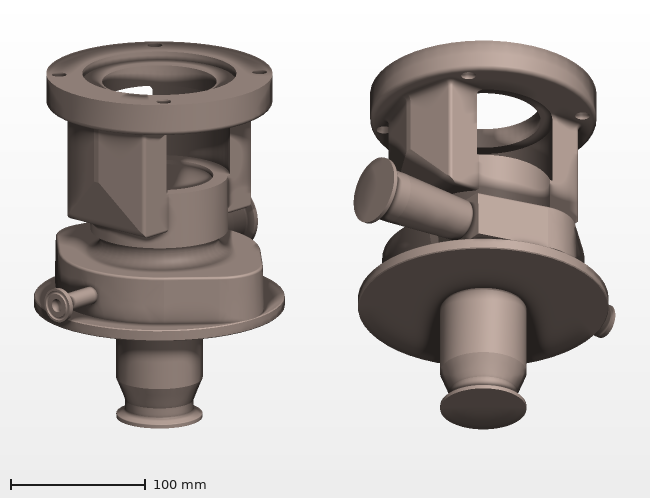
import cadquery as cq
import math

TOP_Z = 155.2
FLANGE_THICKNESS = 24.0
FLANGE_BOTTOM_Z = TOP_Z - FLANGE_THICKNESS
RING_TOP_Z = 76.7
RING_BOTTOM_Z = 34.9
VOLUTE_TOP_Z = 19.0
PLATE_TOP_Z = -16.2
PLATE_BOTTOM_Z = -24.7
BOTTOM_Z = -109.9

Y_AXIS = cq.Vector(0, 1, 0)
Z_AXIS = cq.Vector(0, 0, 1)
EDGE_TOLERANCE = 0.01

FLANGE_RADIUS = 84.0
FLANGE_EDGE_ROUND = 3.5
SPIGOT_RADIUS = 57.2
SPIGOT_DEPTH = 6.3
FLANGE_BORE_RADIUS = 42.5
FLANGE_RELIEF_DEPTH = 2.1
BOLT_SPACING = 105.2
BOLT_HOLE_DIAMETER = 11.0

RING_RADIUS = 51.0
RING_RECESS_RADIUS = 40.0
RING_RECESS_FLOOR_RADIUS = 39.2
RING_RECESS_DEPTH = 3.0
NECK_RADIUS = 44.0
NECK_BLEND_RADIUS = 10.0

LEG_WIDTH = 78.0
LEG_RIDGE_Y = 69.15
LEG_FACE_TILT = 15.0
LEG_INNER_RADIUS = 52.3
LEG_BOTTOM_Z = 46.8
LEG_SLOPE_TOP_Z = 86.0
LEG_CORNER_ROUND = 3.0
LEG_RIDGE_WIDTH = 4.6
LEG_TOE_ROUND = 9.0
LEG_UNDERSIDE_ROUND = 2.6
LEG_FLANGE_FILLET = 4.0

VOLUTE_RADIUS = 75.8
LOBE_OFFSET = 58.5
LOBE_RADIUS = VOLUTE_RADIUS - LOBE_OFFSET * math.sqrt(0.5)
OUTLET_FACE_Y = 62.4
OUTLET_TRIM = 6.0
OUTLET_SIDE_TILT = 14.0
VOLUTE_DRAFT = 1.3
VOLUTE_EDGE_ROUND = 1.9

PLATE_RADIUS = 93.0
PLATE_CHAMFER = 0.7

SUCTION_RADIUS = 32.2
SUCTION_NECK_RADIUS = 25.4
SUCTION_FERRULE_RADIUS = 32.0
SUCTION_CONE_TOP_Z = -79.4
SUCTION_CONE_BOTTOM_Z = -96.3
SUCTION_FERRULE_TOP_Z = -104.0
SUCTION_RIM = 3.0
SUCTION_ROOT_INSET = 1.0
SUCTION_ROOT_HEIGHT = 2.1

DISCHARGE_X = -58.0
DISCHARGE_Z = 3.1
DISCHARGE_END_Y = 144.0
DISCHARGE_RADIUS = 19.2
DISCHARGE_ROOT_RADIUS = 15.5
DISCHARGE_ROOT_ROUND = 3.3
DISCHARGE_CONE_END_Y = 124.4
DISCHARGE_FERRULE_Y = 138.5
DISCHARGE_FERRULE_RADIUS = 25.25
DISCHARGE_RIM = 3.2
DISCHARGE_CLEARANCE_RADIUS = 30.0

FERRULE_NECK_FILLET = 1.3
FERRULE_RIM_ROUND = 0.8

PORT_END_Y = -112.5
PORT_RADIUS = 6.6
PORT_FERRULE_RADIUS = 12.7
PORT_FERRULE_Y = -106.0
PORT_RIM = 4.0
PORT_BORE_RADIUS = 5.0
PORT_NECK_FILLET = 1.0
PORT_GROOVE_CENTRE = 10.0
PORT_GROOVE_RADIUS = 1.15


def disc(radius, bottom, top):
    """Upright cylinder on the pump axis."""
    return cq.Workplane("XY").workplane(offset=bottom).circle(radius).extrude(top - bottom)


def edges_at(body, axis, place):
    """Edges lying wholly in the plane across the axis at the given place."""
    def in_plane(edge):
        points = [edge.positionAt(step) for step in (0, 0.3, 0.7)]
        return all(abs(point.dot(axis) - place) < EDGE_TOLERANCE for point in points)

    return body.edges().filter(in_plane)


def make_flange():
    flange = disc(FLANGE_RADIUS, FLANGE_BOTTOM_Z, TOP_Z)
    return flange.faces("<Z").edges().fillet(FLANGE_EDGE_ROUND)


def cut_flange_openings(body):
    ledge_z = TOP_Z - SPIGOT_DEPTH
    body = body.cut(disc(SPIGOT_RADIUS, ledge_z, TOP_Z))
    body = body.cut(disc(FLANGE_BORE_RADIUS, FLANGE_BOTTOM_Z, ledge_z))
    bolts = (
        cq.Workplane("XY").workplane(offset=FLANGE_BOTTOM_Z)
        .rect(BOLT_SPACING, BOLT_SPACING, forConstruction=True).vertices()
        .circle(BOLT_HOLE_DIAMETER / 2).extrude(FLANGE_THICKNESS)
    )
    return body.cut(bolts)


def make_leg():
    """Leg on the +Y side: ridged plan trimmed to its side and front outlines."""
    half_width = LEG_WIDTH / 2
    half_ridge = LEG_RIDGE_WIDTH / 2
    height = FLANGE_BOTTOM_Z - LEG_BOTTOM_Z
    tilt = math.tan(math.radians(LEG_FACE_TILT))
    corner_y = LEG_RIDGE_Y - (half_width - half_ridge) * tilt
    leg = (
        cq.Workplane("XY").workplane(offset=LEG_BOTTOM_Z)
        .moveTo(-half_width, 0).lineTo(half_width, 0).lineTo(half_width, corner_y)
        .lineTo(half_ridge, LEG_RIDGE_Y).lineTo(-half_ridge, LEG_RIDGE_Y)
        .lineTo(-half_width, corner_y).close()
        .extrude(height)
    )
    leg = leg.edges("|Z and (<X or >X) and (not <Y)").fillet(LEG_CORNER_ROUND)

    toe_y = LEG_RIDGE_Y - (LEG_SLOPE_TOP_Z - LEG_BOTTOM_Z) * tilt
    side_outline = (
        cq.Workplane("YZ")
        .moveTo(0, LEG_BOTTOM_Z).lineTo(toe_y, LEG_BOTTOM_Z)
        .lineTo(LEG_RIDGE_Y, LEG_SLOPE_TOP_Z).lineTo(LEG_RIDGE_Y, FLANGE_BOTTOM_Z)
        .lineTo(0, FLANGE_BOTTOM_Z).close()
        .extrude(half_width, both=True)
    )
    side_outline = side_outline.faces("<Z").edges(">Y").fillet(LEG_TOE_ROUND)

    front_outline = (
        cq.Workplane("XY").workplane(offset=LEG_BOTTOM_Z)
        .rect(LEG_WIDTH, 2 * LEG_RIDGE_Y).extrude(height)
        .faces("<Z").edges("|Y").fillet(LEG_UNDERSIDE_ROUND)
    )
    leg = leg.intersect(side_outline).intersect(front_outline)
    return leg.cut(disc(NECK_RADIUS, LEG_BOTTOM_Z, FLANGE_BOTTOM_Z))


def make_bracket():
    """Flange with its two legs, blended where the legs meet the flange."""
    leg = make_leg()
    bracket = make_flange().union(leg).union(leg.mirror("XZ"))
    rim_length = 2 * math.pi * (FLANGE_RADIUS - FLANGE_EDGE_ROUND)
    root_edges = edges_at(bracket, Z_AXIS, FLANGE_BOTTOM_Z).filter(
        lambda edge: edge.Length() < rim_length / 2
    )
    bracket = root_edges.fillet(LEG_FLANGE_FILLET)
    bracket = bracket.cut(disc(LEG_INNER_RADIUS, RING_TOP_Z, FLANGE_BOTTOM_Z + FLANGE_RELIEF_DEPTH))
    return cut_flange_openings(bracket)


def make_ring_and_neck():
    """Revolved bearing ring, neck and concave blend down to the volute."""
    neck_z = VOLUTE_TOP_Z + NECK_BLEND_RADIUS
    blend_x = NECK_RADIUS + NECK_BLEND_RADIUS
    corner = NECK_BLEND_RADIUS * math.sqrt(0.5)
    return (
        cq.Workplane("XZ")
        .moveTo(0, VOLUTE_TOP_Z).lineTo(blend_x, VOLUTE_TOP_Z)
        .threePointArc((blend_x - corner, neck_z - corner), (NECK_RADIUS, neck_z))
        .lineTo(NECK_RADIUS, RING_BOTTOM_Z).lineTo(RING_RADIUS, RING_BOTTOM_Z)
        .lineTo(RING_RADIUS, RING_TOP_Z).lineTo(0, RING_TOP_Z).close()
        .revolve(360, (0, 0, 0), (0, 1, 0))
    )


def make_ring_recess():
    """Shallow tapered recess in the top of the bearing ring."""
    return (
        cq.Workplane("XY").workplane(offset=RING_TOP_Z).circle(RING_RECESS_RADIUS)
        .workplane(offset=-RING_RECESS_DEPTH).circle(RING_RECESS_FLOOR_RADIUS)
        .loft()
    )


def extrude_casing(outline):
    """Raise a casing outline from the back plate with the casing draft."""
    return outline.extrude(VOLUTE_TOP_Z - PLATE_TOP_Z, taper=VOLUTE_DRAFT)


def make_drum():
    drum = extrude_casing(cq.Workplane("XY").workplane(offset=PLATE_TOP_Z).circle(VOLUTE_RADIUS))
    drum = drum.faces(">Z").edges().fillet(VOLUTE_EDGE_ROUND)
    clearance = (
        cq.Workplane("XZ", origin=(DISCHARGE_X, OUTLET_FACE_Y, DISCHARGE_Z))
        .circle(DISCHARGE_CLEARANCE_RADIUS).extrude(-VOLUTE_RADIUS)
    )
    return drum.cut(clearance)


def make_lobes():
    """Rounded lobes at +/-X; the -X lobe runs on tangentially to an upright outlet face."""
    drum_tangent = VOLUTE_RADIUS * math.sqrt(0.5)
    lobe_y = LOBE_RADIUS * math.sqrt(0.5)
    lobe_x = LOBE_OFFSET + lobe_y
    lobe_tip = LOBE_OFFSET + LOBE_RADIUS
    tilt = math.radians(OUTLET_SIDE_TILT)
    side_x = -LOBE_OFFSET - LOBE_RADIUS * math.cos(tilt)
    side_y = LOBE_RADIUS * math.sin(tilt)
    block_y = OUTLET_FACE_Y + OUTLET_TRIM
    outlet_x = side_x + (block_y - side_y) * math.tan(tilt)
    lobes = extrude_casing(
        cq.Workplane("XY").workplane(offset=PLATE_TOP_Z)
        .moveTo(outlet_x, block_y).lineTo(side_x, side_y)
        .threePointArc((-lobe_tip, 0), (-lobe_x, -lobe_y))
        .lineTo(-drum_tangent, -drum_tangent)
        .threePointArc((0, -VOLUTE_RADIUS), (drum_tangent, -drum_tangent))
        .lineTo(lobe_x, -lobe_y)
        .threePointArc((lobe_tip, 0), (lobe_x, lobe_y))
        .lineTo(drum_tangent, drum_tangent)
        .lineTo(0, block_y).close()
    )
    rim = lobes.faces(">Z").edges().filter(lambda edge: edge.Center().y < drum_tangent)
    trim = (
        cq.Workplane("XY")
        .box(4 * VOLUTE_RADIUS, OUTLET_TRIM, VOLUTE_TOP_Z - PLATE_TOP_Z, centered=(True, False, False))
        .translate((0, OUTLET_FACE_Y, PLATE_TOP_Z))
    )
    return rim.fillet(VOLUTE_EDGE_ROUND).cut(trim)


def make_volute():
    """Spiral casing: drum and lobes in one body."""
    return make_drum().union(make_lobes())


def make_plate():
    return disc(PLATE_RADIUS, PLATE_BOTTOM_Z, PLATE_TOP_Z).edges().chamfer(PLATE_CHAMFER)


def soften_ferrule(pipe, axis, rim_at, neck_at, neck_fillet):
    """Round the rim edge and fillet the neck of a ferrule at the given places along its axis."""
    pipe = edges_at(pipe, axis, rim_at).fillet(FERRULE_RIM_ROUND)
    return edges_at(pipe, axis, neck_at).fillet(neck_fillet)


def make_suction():
    pipe = (
        cq.Workplane("XZ")
        .moveTo(0, PLATE_BOTTOM_Z).lineTo(SUCTION_RADIUS - SUCTION_ROOT_INSET, PLATE_BOTTOM_Z)
        .lineTo(SUCTION_RADIUS, PLATE_BOTTOM_Z - SUCTION_ROOT_HEIGHT)
        .lineTo(SUCTION_RADIUS, SUCTION_CONE_TOP_Z)
        .lineTo(SUCTION_NECK_RADIUS, SUCTION_CONE_BOTTOM_Z)
        .lineTo(SUCTION_NECK_RADIUS, SUCTION_FERRULE_TOP_Z)
        .lineTo(SUCTION_FERRULE_RADIUS, BOTTOM_Z + SUCTION_RIM)
        .lineTo(SUCTION_FERRULE_RADIUS, BOTTOM_Z).lineTo(0, BOTTOM_Z).close()
        .revolve(360, (0, 0, 0), (0, 1, 0))
    )
    rim_z = BOTTOM_Z + SUCTION_RIM
    return soften_ferrule(pipe, Z_AXIS, rim_z, SUCTION_FERRULE_TOP_Z, FERRULE_NECK_FILLET)


def make_discharge():
    pipe = (
        cq.Workplane("XY")
        .moveTo(0, OUTLET_FACE_Y).lineTo(DISCHARGE_ROOT_RADIUS, OUTLET_FACE_Y)
        .lineTo(DISCHARGE_RADIUS, DISCHARGE_CONE_END_Y)
        .lineTo(DISCHARGE_RADIUS, DISCHARGE_FERRULE_Y)
        .lineTo(DISCHARGE_FERRULE_RADIUS, DISCHARGE_END_Y - DISCHARGE_RIM)
        .lineTo(DISCHARGE_FERRULE_RADIUS, DISCHARGE_END_Y).lineTo(0, DISCHARGE_END_Y).close()
        .revolve(360, (0, 0, 0), (0, 1, 0))
    )
    pipe = pipe.faces("<Y").edges().fillet(DISCHARGE_ROOT_ROUND)
    rim_y = DISCHARGE_END_Y - DISCHARGE_RIM
    pipe = soften_ferrule(pipe, Y_AXIS, rim_y, DISCHARGE_FERRULE_Y, FERRULE_NECK_FILLET)
    return pipe.translate((DISCHARGE_X, 0, DISCHARGE_Z))


def make_port():
    """Small ferruled pipe from the drum, with a clamp groove and a blind bore."""
    bore_end_y = -VOLUTE_RADIUS
    port = (
        cq.Workplane("XY")
        .moveTo(0, bore_end_y).lineTo(0, -NECK_RADIUS).lineTo(PORT_RADIUS, -NECK_RADIUS)
        .lineTo(PORT_RADIUS, PORT_FERRULE_Y)
        .lineTo(PORT_FERRULE_RADIUS, PORT_END_Y + PORT_RIM)
        .lineTo(PORT_FERRULE_RADIUS, PORT_END_Y)
        .lineTo(PORT_GROOVE_CENTRE + PORT_GROOVE_RADIUS, PORT_END_Y)
        .threePointArc(
            (PORT_GROOVE_CENTRE, PORT_END_Y + PORT_GROOVE_RADIUS),
            (PORT_GROOVE_CENTRE - PORT_GROOVE_RADIUS, PORT_END_Y),
        )
        .lineTo(PORT_BORE_RADIUS, PORT_END_Y).lineTo(PORT_BORE_RADIUS, bore_end_y).close()
        .revolve(360, (0, 0, 0), (0, 1, 0))
    )
    rim_y = PORT_END_Y + PORT_RIM
    return soften_ferrule(port, Y_AXIS, rim_y, PORT_FERRULE_Y, PORT_NECK_FILLET)


result = (
    make_volute()
    .union(make_plate())
    .union(make_suction())
    .union(make_discharge())
    .union(make_port())
    .union(make_ring_and_neck())
    .union(make_bracket())
    .cut(make_ring_recess())
)